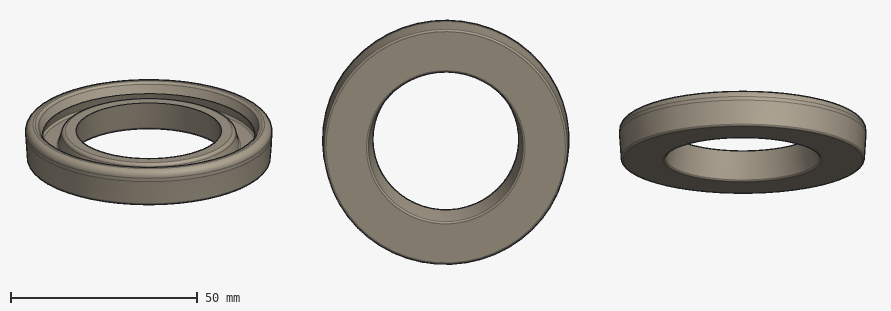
import cadquery as cq
import math

outer_radius = 33.0
height = 10.0

bore_top_radius = 19.5
bore_bottom_radius = 20.8
bottom_bore_fillet = 0.5

band_bottom_z = 7.05
bottom_radius = 32.55
top_outer_fillet = 2.0
bottom_outer_fillet = 0.5

collar_height = 8.2
collar_top_radius = 23.15
collar_draft = 15.0
collar_top_fillet = 1.05
collar_foot_fillet = 0.4

floor_z = 4.0
channel_outer_radius = 29.3
channel_fillet = 0.5
lip_radius = 28.4
lip_z = 7.2
mouth_radius = 29.75
mouth_fillet = 1.0

collar_foot_radius = collar_top_radius + (collar_height - floor_z) * math.tan(math.radians(collar_draft))


def revolved_profile():
    """Sharp-cornered cross-section, as (radius, z), revolved about Z."""
    section = [
        (bore_bottom_radius, 0),
        (bottom_radius, 0),
        (outer_radius, band_bottom_z),
        (outer_radius, height),
        (mouth_radius, height),
        (lip_radius, lip_z),
        (channel_outer_radius, floor_z),
        (collar_foot_radius, floor_z),
        (collar_top_radius, collar_height),
        (bore_top_radius, collar_height),
    ]
    return cq.Workplane("XZ").polyline(section).close().revolve(360, (0, 0), (0, 1))


def round_edge(body, radius, z, fillet):
    """Round the circular edge with the given radius and height."""
    tolerance = 0.005
    corner_min = (-radius - tolerance, -radius - tolerance, z - tolerance)
    corner_max = (radius + tolerance, radius + tolerance, z + tolerance)
    level_edges = body.edges(cq.selectors.BoxSelector(corner_min, corner_max, boundingbox=True))
    rim = level_edges.filter(lambda edge: edge.geomType() == "CIRCLE" and abs(edge.radius() - radius) < tolerance)
    return rim.fillet(fillet)


rounded_edges = [
    (outer_radius, height, top_outer_fillet),
    (bottom_radius, 0, bottom_outer_fillet),
    (bore_bottom_radius, 0, bottom_bore_fillet),
    (mouth_radius, height, mouth_fillet),
    (channel_outer_radius, floor_z, channel_fillet),
    (collar_foot_radius, floor_z, collar_foot_fillet),
    (collar_top_radius, collar_height, collar_top_fillet),
]

result = revolved_profile()
for edge_radius, edge_z, fillet_radius in rounded_edges:
    result = round_edge(result, edge_radius, edge_z, fillet_radius)